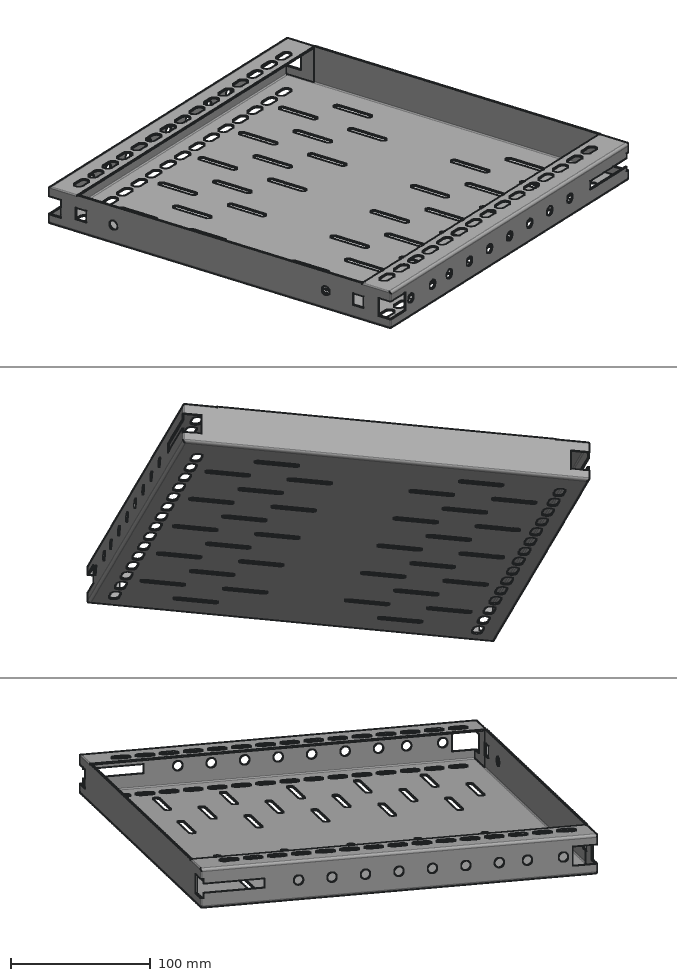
import cadquery as cq

width = 299.0
depth = 296.5
height = 30.0
mid_height = height / 2
sheet = 1.2
bend_radius = 2.0
corner_radius = 1.0
flange_width = 25.0
corner_tab_length = flange_width
corner_tab_step = 0.3
wall_cut = 4 * sheet

slot_rows_span = 250.0
slot_length = 33.0
slot_width = 5.0
slot_row_count = 11
hole_pitch = slot_rows_span / (slot_row_count - 1)
slot_group_x = 75.0
slot_stagger = 30.2

oval_count = 15
oval_row_span = 252.0
oval_pitch = oval_row_span / (oval_count - 1)
oval_length = 14.0
oval_width = 7.5
oval_inset = 16.0
oval_row_shift = -4.0

round_hole = 7.2
side_hole_count = 7
extra_side_holes_y = (-96.0, -123.0)
rear_slot_length = 47.8
rear_slot_height = 7.0

window_height = 14.5
front_window_width = 11.0
rear_window_width = 13.8
side_window_length = 18.5

square_hole = 9.3
square_hole_x = 121.0
front_round_hole_x = 92.7


def block(size_x, size_y, size_z, x, y, z):
    """Box centred at (x, y, z)."""
    return cq.Workplane("XY").box(size_x, size_y, size_z).translate((x, y, z))


def rounded_block(inset):
    """Tray envelope pulled in by `inset` on every face, rounded where its radii exceed the inset."""
    size_x = width - 2 * inset
    size_y = depth - 2 * inset
    size_z = height - 2 * inset
    bends = bend_radius - inset
    corners = corner_radius - inset
    along_y = block(size_x, size_y, size_z, 0, 0, mid_height).edges("|Y").fillet(bends)
    along_x = block(size_x, size_y, size_z, 0, 0, mid_height).edges("|X and <Z").fillet(bends)
    if corners > 0:
        along_x = along_x.edges("|Z or (|X and >Z)").fillet(corners)
    return along_y.intersect(along_x)


def tray_shell():
    """Floor, four walls and the two top flanges, open between the flanges."""
    opening_width = width - 2 * flange_width
    opening = block(opening_width, depth, height, 0, 0, height)
    shell = rounded_block(0).cut(rounded_block(sheet)).cut(opening)
    for end in (-1, 1):
        wall_y = end * (depth - sheet) / 2
        upper_wall = block(opening_width, sheet, mid_height, 0, wall_y, height - mid_height / 2)
        shell = shell.union(upper_wall)
    return shell


def corner_tabs():
    """Slightly raised tabs on the inner faces of the front and rear walls, one per corner."""
    x = width / 2 - sheet - (corner_tab_length - sheet) / 2
    y = depth / 2 - sheet
    points = [(side * x, end * y) for side in (-1, 1) for end in (-1, 1)]
    tabs = cq.Workplane("XY", origin=(0, 0, sheet / 2)).pushPoints(points)
    return tabs.rect(corner_tab_length - sheet, 2 * corner_tab_step).extrude(height - sheet)


def floor_slots():
    """Rows of one and two slots per half, alternating."""
    points = []
    middle_row = slot_row_count // 2
    for row in range(slot_row_count):
        y = (row - middle_row) * hole_pitch
        offsets = (0,) if row % 2 == 0 else (-slot_stagger, slot_stagger)
        for offset in offsets:
            points += [(side * (slot_group_x + offset), y) for side in (-1, 1)]
    return cq.Workplane("XY").pushPoints(points).slot2D(slot_length, slot_width).extrude(mid_height)


def flange_ovals():
    """One row of ovals along each flange, cut right through to the underside."""
    x = width / 2 - oval_inset
    middle = oval_count // 2
    rows = [oval_row_shift + (i - middle) * oval_pitch for i in range(oval_count)]
    points = [(side * x, y) for side in (-1, 1) for y in rows]
    return cq.Workplane("XY").pushPoints(points).slot2D(oval_length, oval_width, 90).extrude(height)


def side_wall_holes():
    """Round holes running through both side walls."""
    middle = side_hole_count // 2
    positions = [(i - middle) * hole_pitch for i in range(side_hole_count)]
    positions += extra_side_holes_y
    holes = cq.Workplane("YZ").pushPoints([(y, mid_height) for y in positions])
    return holes.circle(round_hole / 2).extrude(width / 2, both=True)


def front_wall_holes(side):
    """One square and one round hole through the front wall, on one side of the middle."""
    square = block(square_hole, wall_cut, square_hole, side * square_hole_x, -depth / 2, mid_height)
    round_cut = cq.Workplane("XZ", origin=(side * front_round_hole_x, -depth / 2, mid_height))
    return square.union(round_cut.circle(round_hole / 2).extrude(wall_cut / 2, both=True))


def corner_openings(side):
    """Windows at both corners of one side wall, and the slot at its rear end."""
    x = side * width / 2
    slot_y = (depth - rear_slot_length) / 2
    cuts = block(wall_cut, rear_slot_length, rear_slot_height, x, slot_y, mid_height)
    cuts = cuts.union(block(wall_cut, 2 * side_window_length, window_height, x, -depth / 2, mid_height))
    for end, window_width in ((-1, front_window_width), (1, rear_window_width)):
        cuts = cuts.union(
            block(2 * window_width, wall_cut, window_height, x, end * depth / 2, mid_height)
        )
    return cuts


result = tray_shell().union(corner_tabs())
result = result.cut(floor_slots()).cut(flange_ovals()).cut(side_wall_holes())
for side in (-1, 1):
    result = result.cut(corner_openings(side)).cut(front_wall_holes(side))